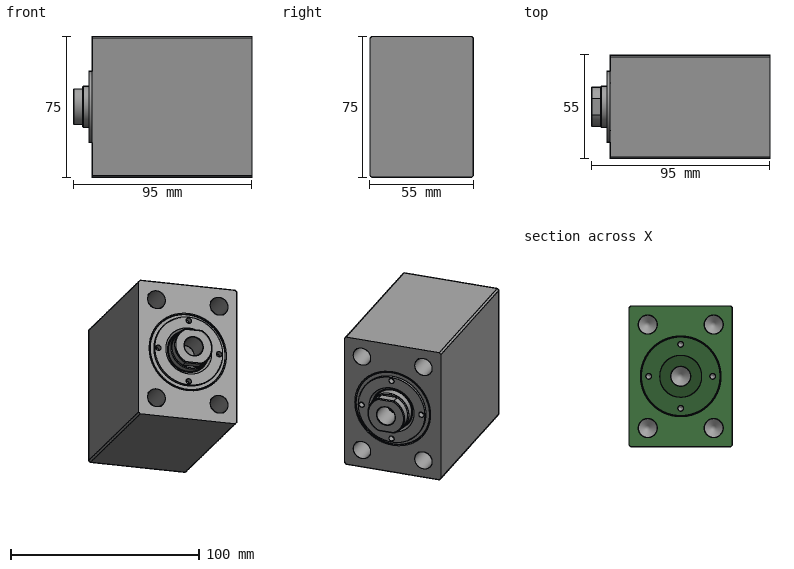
import cadquery as cq
import math


housing_length = 85.0
housing_width = 55.0
housing_height = 75.0
housing_edge_chamfer = 0.95

mount_hole_diameter = 10.0
mount_hole_depth = 20.0
mount_spacing_y = 35.1
mount_spacing_z = 55.0

gland_diameter = 42.0
gland_depth = 20.0
boss_diameter = 38.0
boss_protrusion = 1.7
bore_chamfer = 0.7
mouth_diameter = 25.7
mouth_taper = 1.3
pin_hole_diameter = 2.9
pin_hole_depth = 4.0
pin_hole_circle_radius = 17.0
pin_hole_count = 4

rod_protrusion = 10.0
rod_diameter = 22.0
neck_diameter = 21.0
neck_length = 4.8
flat_distance = 19.0
rod_end_chamfer = 0.5
rod_hole_diameter = 10.45
rod_hole_depth = 15.0
rod_hole_chamfer = 0.2

drill_point_angle = 118.0


def turned(profile):
    """Solid of revolution about the X axis from (x, radius) points."""
    return cq.Workplane("XY").polyline(profile).close().revolve(360, (0, 0, 0), (1, 0, 0))


def drill(diameter, depth, x, y=0.0, z=0.0):
    """Drilled hole shape: a cylinder along +X from (x, y, z) that ends in a cone."""
    radius = diameter / 2
    tip_length = radius / math.tan(math.radians(drill_point_angle / 2))
    profile = [(0, 0), (0, radius), (depth, radius), (depth + tip_length, 0)]
    return turned(profile).translate((x, y, z))


def make_housing():
    """Block with a chamfered blind bore for the gland and four mounting holes."""
    block = cq.Workplane("XY").box(housing_length, housing_width, housing_height)
    block = block.edges("|X").chamfer(housing_edge_chamfer)
    block = block.translate((housing_length / 2, 0, 0))

    bore_radius = gland_diameter / 2
    bore = turned([
        (0, 0),
        (0, bore_radius + bore_chamfer),
        (bore_chamfer, bore_radius),
        (gland_depth, bore_radius),
        (gland_depth, 0),
    ])
    block = block.cut(bore)

    for y_side in (-1, 1):
        for z_side in (-1, 1):
            y = y_side * mount_spacing_y / 2
            z = z_side * mount_spacing_z / 2
            block = block.cut(drill(mount_hole_diameter, mount_hole_depth, 0, y, z))
    return block


def make_gland():
    """Stepped ring around the rod, with a tapered mouth and four pin holes."""
    rod_radius = rod_diameter / 2
    gland_radius = gland_diameter / 2
    boss_radius = boss_diameter / 2
    mouth_radius = mouth_diameter / 2
    ring = turned([
        (-boss_protrusion, mouth_radius),
        (-boss_protrusion, boss_radius),
        (0, boss_radius),
        (0, gland_radius),
        (gland_depth, gland_radius),
        (gland_depth, rod_radius),
        (mouth_taper - boss_protrusion, rod_radius),
        (mouth_taper - boss_protrusion, mouth_radius - mouth_taper),
    ])
    for index in range(pin_hole_count):
        angle = 2 * math.pi * index / pin_hole_count
        y = pin_hole_circle_radius * math.cos(angle)
        z = pin_hole_circle_radius * math.sin(angle)
        ring = ring.cut(drill(pin_hole_diameter, pin_hole_depth, -boss_protrusion, y, z))
    return ring


def make_rod():
    """Rod with a two-flat neck at its end and a drilled, chamfered end hole."""
    rod_radius = rod_diameter / 2
    neck_radius = neck_diameter / 2
    shoulder_x = neck_length - rod_protrusion
    shoulder_chamfer = rod_radius - neck_radius
    shank = turned([
        (shoulder_x, 0),
        (shoulder_x, neck_radius),
        (shoulder_x + shoulder_chamfer, rod_radius),
        (gland_depth, rod_radius),
        (gland_depth, 0),
    ])

    neck = cq.Workplane("YZ").circle(neck_radius).extrude(neck_length)
    flats = cq.Workplane("YZ").rect(neck_diameter, flat_distance).extrude(neck_length)
    neck = neck.intersect(flats).faces("<X").chamfer(rod_end_chamfer)
    rod = shank.union(neck.translate((-rod_protrusion, 0, 0)))

    hole_radius = rod_hole_diameter / 2
    hole_mouth = turned([
        (0, 0),
        (0, hole_radius + rod_hole_chamfer),
        (rod_hole_chamfer, hole_radius),
        (rod_hole_chamfer, 0),
    ])
    rod = rod.cut(hole_mouth.translate((-rod_protrusion, 0, 0)))
    return rod.cut(drill(rod_hole_diameter, rod_hole_depth, -rod_protrusion))


housing = make_housing()
gland = make_gland()
rod = make_rod()

result = cq.Compound.makeCompound([housing.val(), gland.val(), rod.val()])